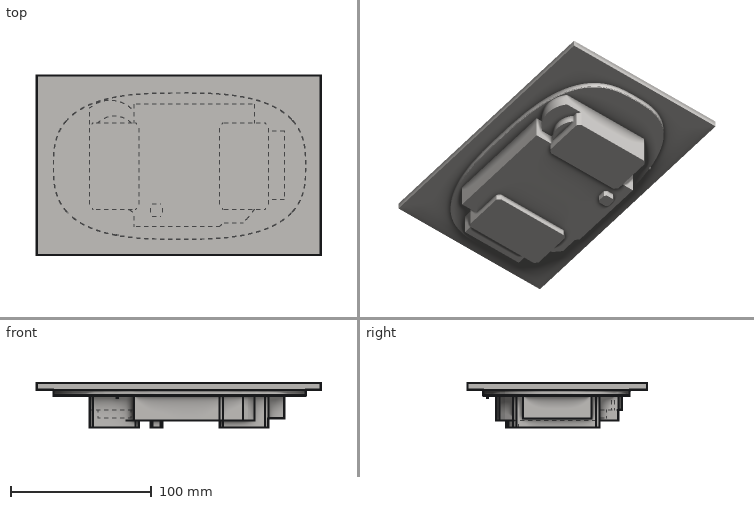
import cadquery as cq
import math

plate_length = 202.1
plate_width = 127.8
plate_thickness = 5.0

oval_center = (0.6, -0.6)
oval_radius_x = 89.8
oval_radius_y = 52.2
oval_fullness = 2.8
oval_point_count = 48
lip_top = -8.7
lip_bottom = -9.3
lip_inset = 0.2
flat_start_x = 72.0
flat_end_x = 77.0

block_bottom = -32.0
block_front = -31.3
block_back = 30.1
block_chamfer = 2.5
left_block_x = (-63.3, -28.3)
right_block_x = (29.1, 63.7)

body_bottom = -26.9
body_left = -32.0
body_right = 53.8
body_half_width = 43.5
scoop_radius = 5.0
shoulder_x = 45.5
shoulder_mid_x = 49.5

upper_boss_diameter = 43.9
upper_boss_center = (-48.7, 24.3)
upper_boss_bottom = -19.2
lower_boss_diameter = 33.5
lower_boss_center = (-45.7, 18.2)
lower_boss_bottom = -25.0

side_box_right = 75.0
side_box_half_width = 24.3
side_box_bottom = -25.3
foot_x = (-20.2, -11.5)
foot_front = -36.4
foot_chamfer = 1.6
nib_center = (-43.7, -49.5)
nib_size = (1.2, 0.6)
nib_bottom = -11.0


def box_between(x_range, y_range, bottom, top=lip_bottom):
    """Box spanning the given X, Y and Z limits."""
    length = x_range[1] - x_range[0]
    width = y_range[1] - y_range[0]
    return (
        cq.Workplane("XY", origin=(x_range[0], y_range[0], bottom))
        .box(length, width, top - bottom, centered=False)
    )


def oval_front_y(x, inset):
    """Y of the front of the oval rim at a given X."""
    across = (x - oval_center[0]) / (oval_radius_x - inset)
    return oval_center[1] - (oval_radius_y - inset) * (1 - across**oval_fullness) ** (1 / oval_fullness)


def oval_point(index, inset):
    """Point on the superellipse, relative to the oval center."""
    angle = 2 * math.pi * index / oval_point_count
    cosine = math.cos(angle)
    sine = math.sin(angle)
    power = 2 / oval_fullness
    x = (oval_radius_x - inset) * math.copysign(abs(cosine) ** power, cosine)
    y = (oval_radius_y - inset) * math.copysign(abs(sine) ** power, sine)
    return (x, y)


def oval_layer(inset, bottom, top):
    """Oval slab with a short flat cut across its rim."""
    slab = (
        cq.Workplane("XY", origin=(*oval_center, bottom))
        .spline([oval_point(index, inset) for index in range(oval_point_count)], periodic=True)
        .close()
        .extrude(top - bottom)
    )
    start = (flat_start_x, oval_front_y(flat_start_x, inset))
    end = (flat_end_x, oval_front_y(flat_end_x, inset))
    trim = (
        cq.Workplane("XY", origin=(0, 0, bottom))
        .polyline([start, end, (end[0], start[1])])
        .close()
        .extrude(top - bottom)
    )
    return slab.cut(trim)


def deep_block(x_range):
    """Full-depth block with chamfered vertical edges."""
    block = box_between(x_range, (block_front, block_back), block_bottom)
    return block.edges("|Z").chamfer(block_chamfer)


def central_body():
    """Body with a scooped front left corner and a stepped front right corner."""
    front = -body_half_width
    ledge = front + block_chamfer
    shoulder_mid_y = ledge + shoulder_mid_x - shoulder_x
    scoop_left = body_left - scoop_radius
    scoop_front = block_front - scoop_radius
    scoop_mid = (
        scoop_left + scoop_radius * math.sin(math.pi / 4),
        scoop_front + scoop_radius * math.cos(math.pi / 4),
    )
    return (
        cq.Workplane("XY", origin=(0, 0, body_bottom))
        .moveTo(body_left, front)
        .lineTo(right_block_x[0], front)
        .lineTo(right_block_x[0] + block_chamfer, ledge)
        .lineTo(shoulder_x, ledge)
        .lineTo(shoulder_mid_x, shoulder_mid_y)
        .lineTo(body_right, block_front)
        .lineTo(body_right, body_half_width)
        .lineTo(body_left, body_half_width)
        .lineTo(body_left, block_front)
        .lineTo(scoop_left, block_front)
        .threePointArc(scoop_mid, (body_left, scoop_front))
        .close()
        .extrude(lip_bottom - body_bottom)
    )


def round_boss(center, diameter, bottom):
    """Vertical round boss below the flange."""
    return (
        cq.Workplane("XY", origin=(*center, bottom))
        .circle(diameter / 2)
        .extrude(lip_bottom - bottom)
    )


plate = box_between(
    (-plate_length / 2, plate_length / 2),
    (-plate_width / 2, plate_width / 2),
    -plate_thickness,
    0,
)
flange = oval_layer(0, lip_top, -plate_thickness)
lip = oval_layer(lip_inset, lip_bottom, lip_top)

block_side_limit = box_between(
    (left_block_x[0], body_right), (-plate_width / 2, plate_width / 2), block_bottom
)
upper_boss = round_boss(
    upper_boss_center, upper_boss_diameter, upper_boss_bottom
).intersect(block_side_limit)
lower_boss = round_boss(lower_boss_center, lower_boss_diameter, lower_boss_bottom)

side_box = box_between(
    (body_right, side_box_right), (-side_box_half_width, side_box_half_width), side_box_bottom
)
foot = box_between(
    foot_x, (foot_front, foot_front + foot_x[1] - foot_x[0]), block_bottom
).edges("|Z").chamfer(foot_chamfer)
nib = box_between(
    (nib_center[0] - nib_size[0] / 2, nib_center[0] + nib_size[0] / 2),
    (nib_center[1] - nib_size[1] / 2, nib_center[1] + nib_size[1] / 2),
    nib_bottom,
    lip_bottom,
)

result = plate
for feature in (
    flange,
    lip,
    deep_block(left_block_x),
    deep_block(right_block_x),
    central_body(),
    upper_boss,
    lower_boss,
    side_box,
    foot,
    nib,
):
    result = result.union(feature)